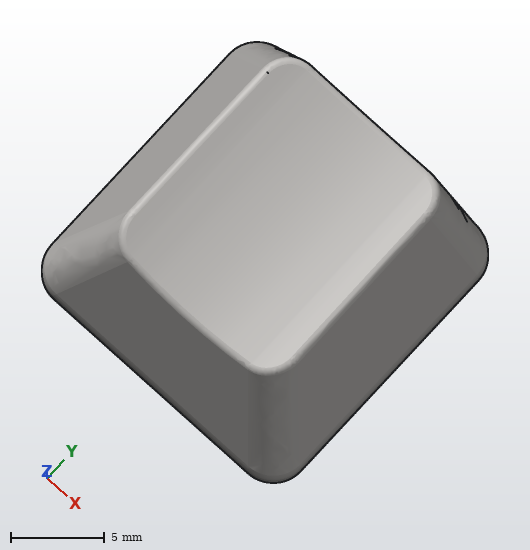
import cadquery as cq
import math

base_side = 18.16
half_side = base_side / 2
base_corner_radius = 2.0

belt_bottom = 0.76
belt_top = 1.3
belt_sections = 5

side_slope = 0.37
front_slope = 0.39
back_slope = 0.085
corner_slope = 0.01
body_top = 10.17

dish_radius = 23.25
dish_center_height = 8.46
dish_tilt = 0.9
dish_length = 2 * base_side
rim_fillet = 0.4


def wall_rise(height):
    """Height gained at full slope; a parabola over the belt, tangent at both ends."""
    belt_height = belt_top - belt_bottom
    if height < belt_top:
        return (height - belt_bottom) ** 2 / (2 * belt_height)
    return height - (belt_bottom + belt_top) / 2


def outline(height):
    """Horizontal rounded outline of the cap at the given height."""
    rise = wall_rise(height)
    width = base_side - 2 * side_slope * rise
    front = -half_side + front_slope * rise
    back = half_side - back_slope * rise
    return (
        cq.Sketch()
        .rect(width, back - front)
        .vertices()
        .fillet(base_corner_radius - corner_slope * rise)
        .moved(cq.Location(cq.Vector(0, (front + back) / 2, height)))
    )


def make_skirt():
    return cq.Workplane("XY").placeSketch(outline(belt_bottom)).extrude(-belt_bottom)


def make_belt():
    step = (belt_top - belt_bottom) / (belt_sections - 1)
    outlines = [outline(belt_bottom + i * step) for i in range(belt_sections)]
    return cq.Workplane("XY").placeSketch(*outlines).loft()


def make_walls():
    return cq.Workplane("XY").placeSketch(outline(belt_top), outline(body_top)).loft(ruled=True)


def make_dish():
    tilt = math.radians(dish_tilt)
    axis = cq.Vector(0, math.cos(tilt), math.sin(tilt))
    center = cq.Vector(0, 0, dish_center_height + dish_radius / math.cos(tilt))
    start = center - axis * (dish_length / 2)
    return cq.Workplane(cq.Solid.makeCylinder(dish_radius, dish_length, start, axis))


crown = make_walls().cut(make_dish())
rim_edges = cq.selectors.BoxSelector(
    (-base_side, -base_side, body_top / 2),
    (base_side, base_side, body_top),
    boundingbox=True,
)
crown = crown.edges(rim_edges).fillet(rim_fillet)

result = make_skirt().union(make_belt()).union(crown)